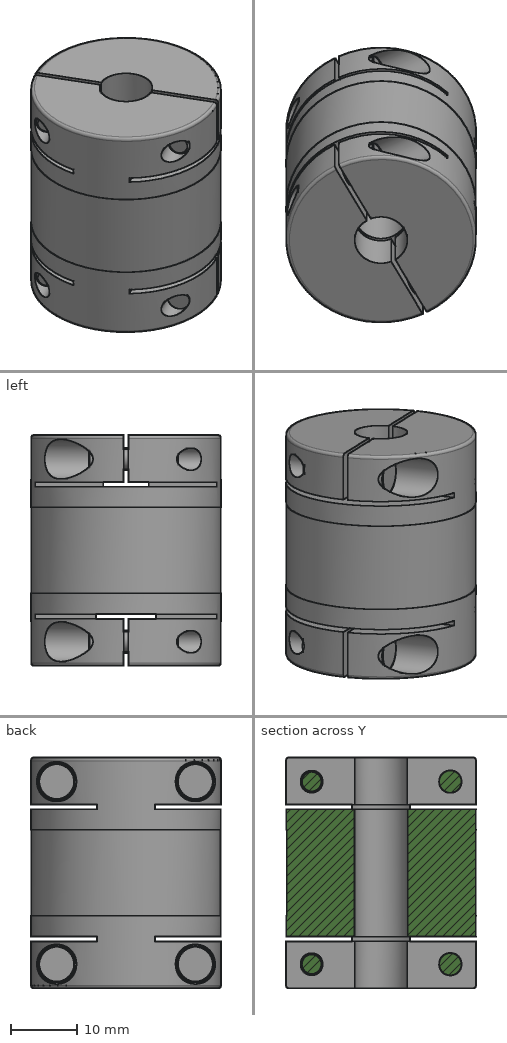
import cadquery as cq
import math

length = 35
outer_diameter = 28.8
bore_diameter = 7.98
edge_fillet = 0.5
outer_radius = outer_diameter / 2
bore_radius = bore_diameter / 2

hub_length = 11.0
band_inset = 0.05
band_length = length - 2 * hub_length

cut_width = 0.7
jaw_height = 7.15
web_half_width = 4.4
upper_opening_half_width = 3.43
lower_opening_half_width = 4.5

screw_offset = 10.5
screw_end_distance = 3.68
clearance_radius = 1.68
counterbore_radius = 3.0
counterbore_floor = 2.62
screw_radius = 1.5
screw_tip = -7.9
tip_chamfer = 0.35
head_radius = 2.75
head_height = 3.0
head_chamfer = 0.15
tight_screw_radius = 1.7
tight_tip_chamfer = 0.3


def cylinder_y(x, z, radius, y_start, y_end):
    """Cylinder parallel to Y between two Y positions."""
    height = y_end - y_start
    axis = cq.Vector(0, 1, 0)
    start = cq.Vector(x, y_start, z)
    return cq.Workplane(cq.Solid.makeCylinder(radius, height, start, axis))


def make_body():
    """Round body with filleted ends, a slimmer middle band and a through bore."""
    body = cq.Workplane("XY").circle(outer_radius).extrude(length)
    body = body.faces("<Z or >Z").edges().fillet(edge_fillet)
    band = (
        cq.Workplane("XY", origin=(0, 0, hub_length))
        .circle(outer_radius)
        .circle(outer_radius - band_inset)
        .extrude(band_length)
    )
    bore = cq.Workplane("XY").circle(bore_radius).extrude(length)
    return body.cut(band).cut(bore)


def make_jaw_cuts(end_z, jaw_base_z, cross_cut_z, opening_half_width):
    """Axial slit that splits the jaws, plus the cross cut that leaves two webs."""
    slit_height = abs(end_z - jaw_base_z)
    slit = cq.Workplane("XY").box(outer_diameter, cut_width, slit_height)
    slit = slit.translate((0, 0, (end_z + jaw_base_z) / 2))
    side_width = outer_radius - web_half_width
    side_center = web_half_width + side_width / 2
    cross_cut = (
        cq.Workplane("XY")
        .pushPoints([(-side_center, 0), (side_center, 0)])
        .rect(side_width, outer_diameter)
        .extrude(cut_width)
    )
    relief_radius = math.hypot(web_half_width, opening_half_width)
    relief = cq.Workplane("XY").circle(relief_radius).extrude(cut_width)
    return slit.union(cross_cut.union(relief).translate((0, 0, cross_cut_z)))


def make_screw_hole(x, z, radius):
    """Stepped hole through both jaws."""
    hole = cylinder_y(x, z, radius, -outer_radius, outer_radius)
    return hole.union(cylinder_y(x, z, counterbore_radius, counterbore_floor, outer_radius))


def make_screw(x, z, radius, chamfer):
    """Cap screw seated on the counterbore floor."""
    shank = cylinder_y(x, z, radius, screw_tip, counterbore_floor)
    if chamfer > 0:
        shank = shank.faces("<Y").chamfer(chamfer)
    head = cylinder_y(x, z, head_radius, counterbore_floor, counterbore_floor + head_height)
    return head.faces(">Y").chamfer(head_chamfer).union(shank)


lower_screw_z = screw_end_distance
upper_screw_z = length - screw_end_distance
upper_jaw_base = length - jaw_height
upper_cut_z = upper_jaw_base - cut_width

result = make_body()
result = result.cut(make_jaw_cuts(0, jaw_height, jaw_height, lower_opening_half_width))
result = result.cut(make_jaw_cuts(length, upper_jaw_base, upper_cut_z, upper_opening_half_width))

screws = [
    (-screw_offset, lower_screw_z, clearance_radius, screw_radius, tip_chamfer),
    (-screw_offset, upper_screw_z, clearance_radius, screw_radius, tip_chamfer),
    (screw_offset, lower_screw_z, tight_screw_radius, tight_screw_radius, 0),
    (screw_offset, upper_screw_z, tight_screw_radius, tight_screw_radius, tight_tip_chamfer),
]
for x, z, hole_radius, shank_radius, chamfer in screws:
    result = result.cut(make_screw_hole(x, z, hole_radius))
    result = result.union(make_screw(x, z, shank_radius, chamfer))